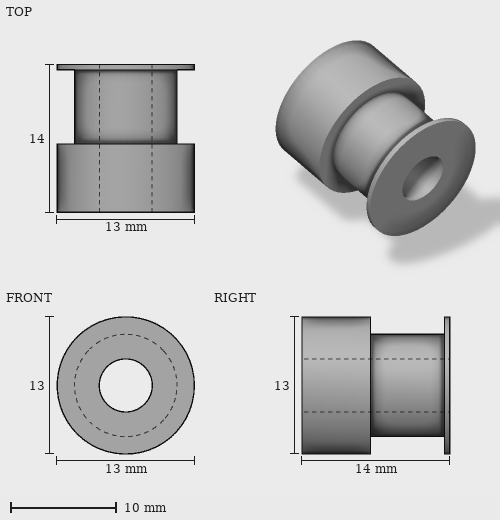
import cadquery as cq

total_length = 14.0
outer_diameter = 13.0
neck_diameter = 9.7
bore_diameter = 5.0
hub_length = 6.5
flange_thickness = 0.5

neck_length = total_length - hub_length - flange_thickness


def cylinder_along_y(diameter, start_y, length):
    """Solid cylinder on the Y axis, from start_y toward +Y."""
    plane = cq.Workplane("XZ", origin=(0, start_y, 0))
    return plane.circle(diameter / 2).extrude(-length)


hub = cylinder_along_y(outer_diameter, 0, hub_length)
neck = cylinder_along_y(neck_diameter, hub_length, neck_length)
flange = cylinder_along_y(outer_diameter, hub_length + neck_length, flange_thickness)

bore = cylinder_along_y(bore_diameter, 0, total_length)

result = hub.union(neck).union(flange).cut(bore)